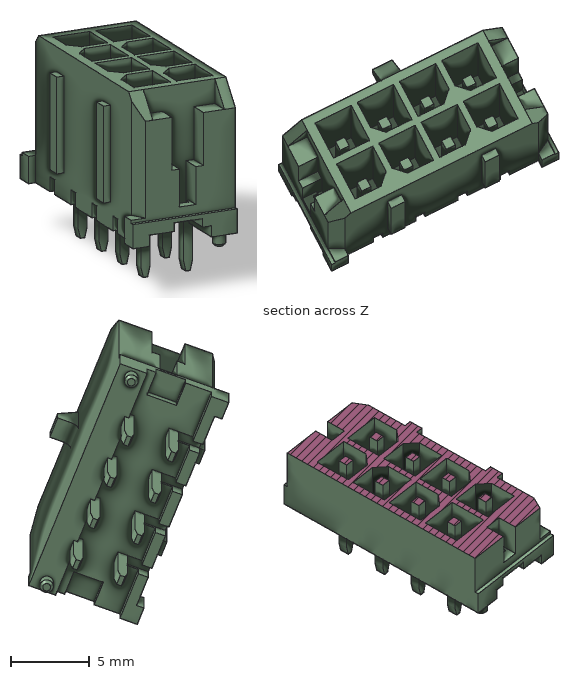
import cadquery as cq
import math


columns = 4
rows = 2
pitch = 3.0
column_x = [(i - (columns - 1) / 2) * pitch for i in range(columns)]
row_y = [(i - (rows - 1) / 2) * pitch for i in range(rows)]

overall_length = 16.15
half_length = overall_length / 2
flange_thickness = 0.26
flange_height = 1.62
body_half_length = half_length - flange_thickness
body_height = 9.92
front_y = -3.49
rear_y = 3.38
front_projection = 0.5
foot_front_y = front_y - front_projection

end_slope_run = 1.37
end_slope_drop = 1.65
shoulder_z = body_height - end_slope_drop
core_half_length = body_half_length - end_slope_run
corner_bevel_x = 0.94
corner_bevel_y = 0.5
bevelled_front_half_length = body_half_length - corner_bevel_x
foot_height = 1.82

end_gap_front_y = -2.45
end_gap_rear_y = 2.6
upper_slot_width = 2.23
upper_slot_floor_z = 4.75
lower_slot_width = 1.15
lower_slot_floor_z = 2.23
clip_pocket_depth = 0.48
clip_neck_width = 0.79
clip_neck_length = 0.32
clip_head_length = 0.37

cavity_size = 2.57
cavity_floor_z = 1.94
cavity_corner = 0.73

pin_width = 0.65
pin_top_z = 6.95
pin_bottom_z = -3.18
pin_taper_length = 0.71
pin_tip_width = 0.3

channel_front_y = -2.81
channel_rear_y = 1.55
channel_height = 0.75
end_notch_width = 2.0
end_notch_y = -0.06
end_notch_top_z = 1.31
end_notch_depth = half_length - core_half_length
pin_notch_height = 0.99

peg_diameter = 0.85
peg_length = 0.84
peg_chamfer = 0.18
peg_x = 7.46
peg_y = 2.39

rib_width = 1.0
rib_x = 3.35

latch_width = 1.4
latch_reach = 1.4
latch_top_z = 9.25
latch_tip_top_z = 7.7
latch_bottom_z = 6.93
latch_root_radius = 0.55


def block(x0, x1, y0, y1, z0, z1):
    """Box spanning the given limits."""
    return cq.Workplane("XY").box(x1 - x0, y1 - y0, z1 - z0, centered=False).translate((x0, y0, z0))


def both_ends(shape):
    """The shape together with its mirror image across the YZ plane."""
    return shape.union(shape.mirror("YZ"))


def make_shell():
    """Solid housing with sloped ends, bevelled front corners, end flanges and feet."""
    side_outline = (
        cq.Workplane("XZ", origin=(0, rear_y, 0))
        .moveTo(-body_half_length, 0)
        .lineTo(body_half_length, 0)
        .lineTo(body_half_length, shoulder_z)
        .lineTo(core_half_length, body_height)
        .lineTo(-core_half_length, body_height)
        .lineTo(-body_half_length, shoulder_z)
        .close()
        .extrude(rear_y - front_y)
    )
    corner_bevel = (
        cq.Workplane("XY")
        .moveTo(-body_half_length, front_y)
        .lineTo(-bevelled_front_half_length, front_y)
        .lineTo(-body_half_length, front_y + corner_bevel_y)
        .close()
        .extrude(body_height)
    )
    foot = block(
        -body_half_length, -bevelled_front_half_length,
        foot_front_y, front_y + corner_bevel_y,
        0, foot_height,
    )
    flange = block(-half_length, -body_half_length, foot_front_y, rear_y, 0, flange_height)
    return side_outline.cut(both_ends(corner_bevel)).union(both_ends(foot.union(flange)))


def make_end_slot():
    """Cutter for the stepped slot at the -X end, with the T-shaped clip pocket in its floor."""
    outer_x = -half_length
    inner_x = -core_half_length
    gap = block(outer_x, inner_x, end_gap_front_y, end_gap_rear_y, shoulder_z, body_height)
    upper = block(
        outer_x, inner_x, -upper_slot_width / 2, upper_slot_width / 2, upper_slot_floor_z, shoulder_z
    )
    lower = block(
        outer_x, inner_x, -lower_slot_width / 2, lower_slot_width / 2, lower_slot_floor_z, shoulder_z
    )
    pocket_floor_z = lower_slot_floor_z - clip_pocket_depth
    head_x = inner_x - clip_head_length
    clip_head = block(
        head_x, inner_x, -lower_slot_width / 2, lower_slot_width / 2, pocket_floor_z, lower_slot_floor_z
    )
    clip_neck = block(
        head_x - clip_neck_length, head_x,
        -clip_neck_width / 2, clip_neck_width / 2,
        pocket_floor_z, lower_slot_floor_z,
    )
    return gap.union(upper).union(lower).union(clip_head).union(clip_neck)


def make_cavity(column, row):
    """Cutter for one square cavity; keyed ones lose a front corner, alternating right and left."""
    cavity = cq.Workplane("XY").rect(cavity_size, cavity_size).extrude(body_height - cavity_floor_z)
    is_plain = column == 0 and row == rows - 1
    if not is_plain:
        corner_side = ">X" if column % 2 == 0 else "<X"
        cavity = cavity.edges("|Z").edges("<Y").edges(corner_side).chamfer(cavity_corner)
    return cavity.translate((column_x[column], row_y[row], cavity_floor_z))


def make_pin(x, y):
    """Square contact whose lower tip narrows along Y only."""
    taper_top_z = pin_bottom_z + pin_taper_length
    return (
        cq.Workplane("YZ", origin=(x - pin_width / 2, y, 0))
        .moveTo(-pin_width / 2, pin_top_z)
        .lineTo(-pin_width / 2, taper_top_z)
        .lineTo(-pin_tip_width / 2, pin_bottom_z)
        .lineTo(pin_tip_width / 2, pin_bottom_z)
        .lineTo(pin_width / 2, taper_top_z)
        .lineTo(pin_width / 2, pin_top_z)
        .close()
        .extrude(pin_width)
    )


def cut_underside(housing):
    """Lengthwise channel, a notch in each end wall and a front notch ahead of each contact."""
    housing = housing.cut(
        block(-half_length, half_length, channel_front_y, channel_rear_y, 0, channel_height)
    )
    end_notch = block(
        -half_length, -half_length + end_notch_depth,
        end_notch_y - end_notch_width / 2, end_notch_y + end_notch_width / 2,
        0, end_notch_top_z,
    )
    housing = housing.cut(both_ends(end_notch))
    for x in column_x:
        housing = housing.cut(
            block(x - pin_width / 2, x + pin_width / 2, front_y, row_y[0], 0, pin_notch_height)
        )
    return housing


def make_peg():
    """Round locating peg under the -X end, chamfered at its tip."""
    return (
        cq.Workplane("XY", origin=(-peg_x, peg_y, 0))
        .circle(peg_diameter / 2)
        .extrude(-peg_length)
        .faces("<Z")
        .chamfer(peg_chamfer)
    )


def make_rib():
    """Upright rib on the front wall, left of centre."""
    return block(
        -rib_x - rib_width / 2, -rib_x + rib_width / 2, foot_front_y, front_y, foot_height, shoulder_z
    )


def make_latch():
    """Ramped latch on the rear wall with a concave radius beneath its root."""
    tip_y = rear_y + latch_reach
    arc_centre_y = rear_y + latch_root_radius
    arc_centre_z = latch_bottom_z - latch_root_radius
    diagonal = latch_root_radius * math.cos(math.radians(45))
    return (
        cq.Workplane("YZ", origin=(-latch_width / 2, 0, 0))
        .moveTo(rear_y, latch_top_z)
        .lineTo(tip_y, latch_tip_top_z)
        .lineTo(tip_y, latch_bottom_z)
        .lineTo(arc_centre_y, latch_bottom_z)
        .threePointArc((arc_centre_y - diagonal, arc_centre_z + diagonal), (rear_y, arc_centre_z))
        .close()
        .extrude(latch_width)
    )


housing = make_shell().cut(both_ends(make_end_slot()))
housing = cut_underside(housing)
for column in range(columns):
    for row in range(rows):
        housing = housing.cut(make_cavity(column, row))

result = housing.union(both_ends(make_peg())).union(both_ends(make_rib())).union(make_latch())
for x in column_x:
    for y in row_y:
        result = result.union(make_pin(x, y))